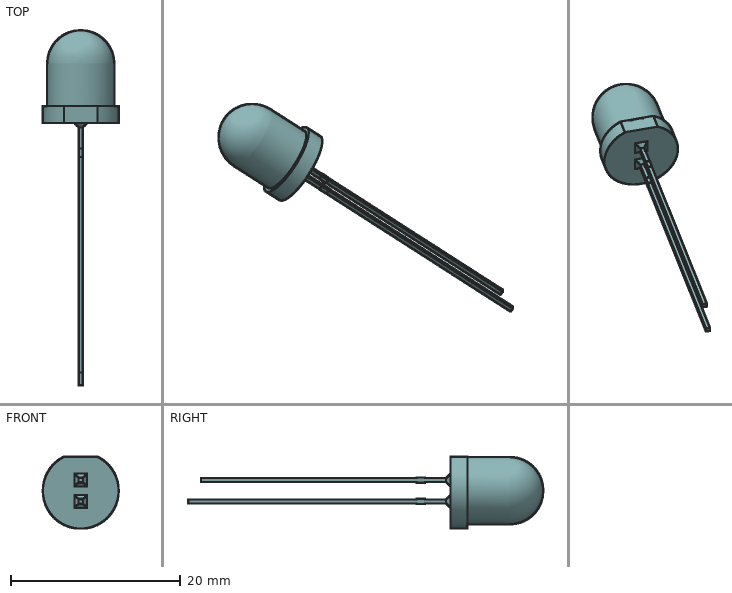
import cadquery as cq
import math

body_radius = 4.0
body_height = 11.0
flange_radius = 4.5
flange_thickness = 2.0
flat_height = 4.03

lead_pitch = 2.54
lead_size = 0.5
long_lead_length = 31.0
short_lead_length = 29.5

foot_size = 1.5
foot_length = 0.5

stop_height = 0.65
stop_start = 3.0
stop_length = 1.0

root_depth = 0.5


def make_lens():
    """Cylinder with a hemispherical dome, revolved about the Y axis."""
    dome_start = body_height - body_radius
    dome_mid = body_radius * math.cos(math.radians(45))
    return (
        cq.Workplane("YZ")
        .lineTo(0, body_radius)
        .lineTo(dome_start, body_radius)
        .threePointArc((dome_start + dome_mid, dome_mid), (body_height, 0))
        .close()
        .revolve(360, (0, 0, 0), (1, 0, 0))
    )


def make_flange():
    """Round flange with one flat on its +Z side."""
    disc = cq.Workplane("XZ").circle(flange_radius).extrude(-flange_thickness)
    diameter = 2 * flange_radius
    keep = cq.Workplane("XY").box(diameter, diameter, diameter)
    keep = keep.translate((0, 0, flat_height - flange_radius))
    return disc.intersect(keep)


def bar(height, start, length, center_z):
    """Rectangular bar of the lead's X width running to -Y from Y = -start."""
    return (
        cq.Workplane("XZ", origin=(0, -start, center_z))
        .rect(lead_size, height)
        .extrude(length)
    )


def make_lead(length, center_z):
    """Lead wire with its stop and its tapered foot."""
    wire = bar(lead_size, -root_depth, root_depth + length, center_z)
    stop = bar(stop_height, stop_start, stop_length, center_z)
    foot = (
        cq.Workplane("XZ", origin=(0, 0, center_z))
        .rect(foot_size, foot_size)
        .workplane(offset=foot_length)
        .rect(lead_size, lead_size)
        .loft(ruled=True)
    )
    return wire.union(stop).union(foot)


result = (
    make_lens()
    .union(make_flange())
    .union(make_lead(short_lead_length, lead_pitch / 2))
    .union(make_lead(long_lead_length, -lead_pitch / 2))
)